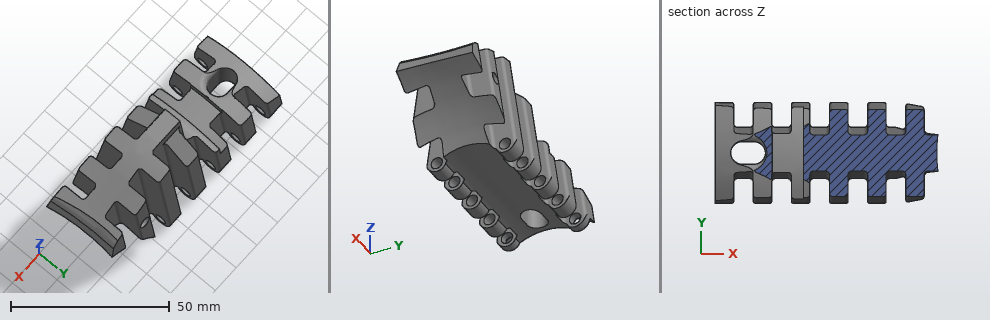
import cadquery as cq
import math

length = 79.5
above_part = 47.7
beyond_side = 19.9
margin = 2.4

half_width = 15.9
side_taper = math.radians(8.0)
taper_tan = math.tan(side_taper)
spine_half_width = 8.1
spine_foot_z = 2.4

underside_radius = 20.9
underside_apex_z = 4.05
lug_outer_radius = 4.0
lug_inner_radius = 3.1
lug_y = half_width - lug_outer_radius
lug_bore_diameter = 4.0
lug_bore_y = 12.1
lug_bore_z = 3.1

side_foot_y = lug_y + lug_outer_radius * math.cos(side_taper)
side_foot_z = lug_outer_radius * (1 + math.sin(side_taper))

relief_length = 2.95
relief_radius = 27.0
relief_apex_z = 9.0
relief_fillet = 0.5

slot_count = 6
slot_start = 5.9
slot_pitch = 12.0
slot_width = 6.1
slot_floor_fillet = 1.1
rib_edge_round = 1.0

ramp_end_x = 12.0
groove_start_x = 18.05
groove_end_x = 27.8
head_x = 34.3
ramp_low_z = 14.15
ramp_high_z = 19.3
crown_z = 19.9
groove_z = 17.25
ramp_front_radius = 31.8
crown_radius = 41.35
groove_radius = 35.8
head_fillet = 6.0

head_reference_y = 13.5
head_flat_end_x = 44.4
head_flat = (37.4, 37.8, 36.35)
head_stations = (
    (head_flat_end_x, head_flat),
    (54.1, (36.0, 36.35, 34.35)),
    (66.0, (32.0, 32.1, 31.1)),
    (81.1, (27.5, 27.4, 27.2)),
)

slope_start_x = 34.75
slope_end_x = 43.1
slope_high_z = 34.9
slope_angle = 39.4

rear_axis_y = 4.8
rear_radius = 127.2
rear_tip_x = 78.25
rear_tip_z = 23.0
rear_slant = 18.0
rear_face_height = 3.7
rear_round_middle = (2.1, 4.8)
rear_round_end = (2.95, 5.4)
rear_top_angle = 40.0
rear_top_overrun = 3.2
barrel_x = 94.95
barrel_z = -15.2
barrel_radius = 42.3
barrel_crown_radius = 82.7

screw_front_x = 8.4
screw_rear_x = 12.3
screw_slot_width = 7.0
screw_mouth_fillet = 2.2
cross_hole_x = 63.0
cross_hole_z = 22.1
cross_hole_diameter = 4.0


def arc_height(apex_z, radius, y):
    """Height at y of an arch of the given radius with its apex on the XZ plane."""
    return apex_z - radius + math.sqrt(radius ** 2 - y ** 2)


def above_curve(x, plus_y_z, middle_z, minus_y_z, reach):
    """Outline, in the YZ plane at x, of everything above an arc through three heights."""
    return (
        cq.Workplane("YZ", origin=(x, 0, 0))
        .moveTo(reach, plus_y_z)
        .threePointArc((0, middle_z), (-reach, minus_y_z))
        .lineTo(-reach, above_part)
        .lineTo(reach, above_part)
        .close()
    )


def above_arch(x, apex_z, radius):
    edge_z = arc_height(apex_z, radius, beyond_side)
    return above_curve(x, edge_z, apex_z, edge_z, beyond_side)


def ruled_between(first, last):
    wires = [first.wires().val(), last.wires().val()]
    return cq.Workplane(cq.Solid.makeLoft(wires, True))


def make_blank():
    """Constant cross-section along the part, up to well above the finished top."""
    top_half_width = side_foot_y - (above_part - side_foot_z) * taper_tan

    middle_angle = (math.pi / 2 - side_taper) / 2
    outer_middle = (
        lug_y + lug_outer_radius * math.cos(middle_angle),
        lug_outer_radius * (1 - math.sin(middle_angle)),
    )

    def inner_point(sweep):
        """Point on the inner round, by the angle swept from the lowest point."""
        y = lug_y - lug_inner_radius * math.sin(sweep)
        z = lug_inner_radius * (1 - math.cos(sweep))
        return (y, z)

    rise = lug_inner_radius - (underside_apex_z - underside_radius)
    center_distance = math.hypot(lug_y, rise)
    cos_apart = (
        (lug_inner_radius ** 2 + center_distance ** 2 - underside_radius ** 2)
        / (2 * lug_inner_radius * center_distance)
    )
    inner_sweep = math.acos(cos_apart) + math.acos(rise / center_distance)
    inner_middle = inner_point(inner_sweep / 2)
    inner_end = inner_point(inner_sweep)

    def mirrored(point):
        return (-point[0], point[1])

    return (
        cq.Workplane("YZ")
        .moveTo(-top_half_width, above_part)
        .lineTo(-side_foot_y, side_foot_z)
        .threePointArc(mirrored(outer_middle), (-lug_y, 0))
        .threePointArc(mirrored(inner_middle), mirrored(inner_end))
        .threePointArc((0, underside_apex_z), inner_end)
        .threePointArc(inner_middle, (lug_y, 0))
        .threePointArc(outer_middle, (side_foot_y, side_foot_z))
        .lineTo(top_half_width, above_part)
        .close()
        .extrude(length + margin)
    )


def make_side_slot(start_x):
    """Cutter for the +Y side, leaning with the taper, mouth flared to round the rib edges."""
    spine_offset = side_foot_y + (side_foot_z - spine_foot_z) * taper_tan - spine_half_width
    depth = spine_offset * math.cos(side_taper)
    end_x = start_x + slot_width
    flare = rib_edge_round
    diagonal = flare * (1 - math.sqrt(0.5))
    plan = (
        cq.Workplane("XY")
        .moveTo(start_x, 0)
        .lineTo(start_x, depth - flare)
        .threePointArc((start_x - diagonal, depth - diagonal), (start_x - flare, depth))
        .lineTo(start_x - flare, depth + margin)
        .lineTo(end_x + flare, depth + margin)
        .lineTo(end_x + flare, depth)
        .threePointArc((end_x + diagonal, depth - diagonal), (end_x, depth - flare))
        .lineTo(end_x, 0)
        .close()
        .extrude(2 * above_part)
    )
    prism = plan.edges("|Z and <Y").fillet(slot_floor_fillet).translate((0, 0, -above_part / 2))
    leaning = prism.rotate((0, 0, 0), (1, 0, 0), math.degrees(side_taper))
    return leaning.translate((0, spine_half_width, spine_foot_z))


def cut_crown(body):
    """Sloping crown over the whole saddle, before the ramp and the groove are cut into it."""
    slope = (crown_z - ramp_high_z) / (groove_start_x - ramp_end_x)
    front_z = ramp_high_z - slope * ramp_end_x
    crown = ruled_between(
        above_arch(0, front_z, crown_radius),
        above_arch(groove_end_x, front_z + slope * groove_end_x, crown_radius),
    )
    return body.cut(crown)


def cut_screw_slot(body):
    """Slot through the crown with its upper rim rounded over."""
    slot = (
        cq.Workplane("XY")
        .center((screw_front_x + screw_rear_x) / 2, 0)
        .slot2D(screw_rear_x - screw_front_x + screw_slot_width, screw_slot_width)
        .extrude(above_part)
    )
    rim = cq.selectors.BoxSelector(
        (screw_front_x - screw_slot_width, -screw_slot_width, groove_z),
        (screw_rear_x + screw_slot_width, screw_slot_width, crown_z + margin),
    )
    return body.cut(slot).edges(rim).edges("not |Z").fillet(screw_mouth_fillet)


def cut_saddle(body):
    ramp = ruled_between(
        above_arch(0, ramp_low_z, ramp_front_radius),
        above_arch(ramp_end_x, ramp_high_z, crown_radius),
    )
    groove = above_arch(groove_start_x, groove_z, groove_radius).extrude(groove_end_x - groove_start_x)
    head_wall = above_arch(groove_end_x, crown_z, crown_radius).extrude(head_x - groove_end_x)
    head_wall = head_wall.faces(">X").edges("<Z").fillet(head_fillet)
    return body.cut(ramp).cut(groove).cut(head_wall)


def cut_head_top(body):
    flat = above_curve(head_x, *head_flat, head_reference_y).extrude(head_flat_end_x - head_x)
    outlines = []
    for x, heights in head_stations:
        outlines.append(above_curve(x, *heights, head_reference_y).wires().val())
    return body.cut(flat).cut(cq.Workplane(cq.Solid.makeLoft(outlines)))


def make_rib_slope():
    """Cutter above the sloped top of the first head rib, +Y side only."""
    spine_y = spine_half_width - (slope_high_z - spine_foot_z) * taper_tan
    top_y = spine_half_width - (above_part - spine_foot_z) * taper_tan
    low_z = slope_high_z - (beyond_side - spine_y) * math.tan(math.radians(slope_angle))
    return (
        cq.Workplane("YZ", origin=(slope_start_x, 0, 0))
        .moveTo(spine_y, slope_high_z)
        .lineTo(beyond_side, low_z)
        .lineTo(beyond_side, above_part)
        .lineTo(top_y, above_part)
        .close()
        .extrude(slope_end_x - slope_start_x)
    )


def cut_front_relief(body):
    edge_z = arc_height(relief_apex_z, relief_radius, beyond_side)
    relief = (
        cq.Workplane("YZ", origin=(-margin, 0, 0))
        .moveTo(beyond_side, edge_z)
        .threePointArc((0, relief_apex_z), (-beyond_side, edge_z))
        .lineTo(-beyond_side, -margin)
        .lineTo(beyond_side, -margin)
        .close()
        .extrude(relief_length + margin)
    )
    return body.cut(relief.faces(">X").edges(">Z").fillet(relief_fillet))


def cut_rear(body):
    slant_tan = math.tan(math.radians(rear_slant))
    top_slope = math.tan(math.radians(rear_top_angle))

    def rim_point(run, rise):
        return (-rear_radius - run, rear_tip_z + rise)

    round_run, round_rise = rear_round_end
    top_run = round_run + rear_top_overrun
    outside = (
        cq.Workplane("XZ")
        .moveTo(0, 0)
        .lineTo(*rim_point(-rear_tip_z * slant_tan, -rear_tip_z))
        .lineTo(*rim_point(rear_face_height * slant_tan, rear_face_height))
        .threePointArc(rim_point(*rear_round_middle), rim_point(*rear_round_end))
        .lineTo(*rim_point(top_run, round_rise + rear_top_overrun * top_slope))
        .lineTo(-rear_radius - top_run, above_part)
        .lineTo(0, above_part)
        .close()
        .revolve(360, (0, 0, 0), (0, 1, 0))
        .translate((rear_tip_x + rear_radius, rear_axis_y, 0))
    )
    end_sag = barrel_crown_radius - math.sqrt(barrel_crown_radius ** 2 - beyond_side ** 2)
    barrel = (
        cq.Workplane("XY", origin=(barrel_x, 0, barrel_z))
        .moveTo(0, -beyond_side)
        .lineTo(barrel_radius - end_sag, -beyond_side)
        .threePointArc((barrel_radius, 0), (barrel_radius - end_sag, beyond_side))
        .lineTo(0, beyond_side)
        .close()
        .revolve(360, (0, 0, 0), (0, 1, 0))
    )
    return body.cut(outside).cut(barrel)


def cut_holes(body):
    lug_bores = (
        cq.Workplane("YZ")
        .pushPoints([(-lug_bore_y, lug_bore_z), (lug_bore_y, lug_bore_z)])
        .circle(lug_bore_diameter / 2)
        .extrude(length)
    )
    cross_hole = (
        cq.Workplane("XZ", origin=(cross_hole_x, beyond_side, cross_hole_z))
        .circle(cross_hole_diameter / 2)
        .extrude(2 * beyond_side)
    )
    return body.cut(lug_bores).cut(cross_hole)


part = make_blank()
part = cut_crown(part)
part = cut_screw_slot(part)
part = cut_saddle(part)
part = cut_head_top(part)
part = cut_front_relief(part)
part = cut_rear(part)
for index in range(slot_count):
    side_slot = make_side_slot(slot_start + index * slot_pitch)
    part = part.cut(side_slot).cut(side_slot.mirror("XZ"))
rib_slope = make_rib_slope()
part = part.cut(rib_slope).cut(rib_slope.mirror("XZ"))
part = cut_holes(part)

result = part